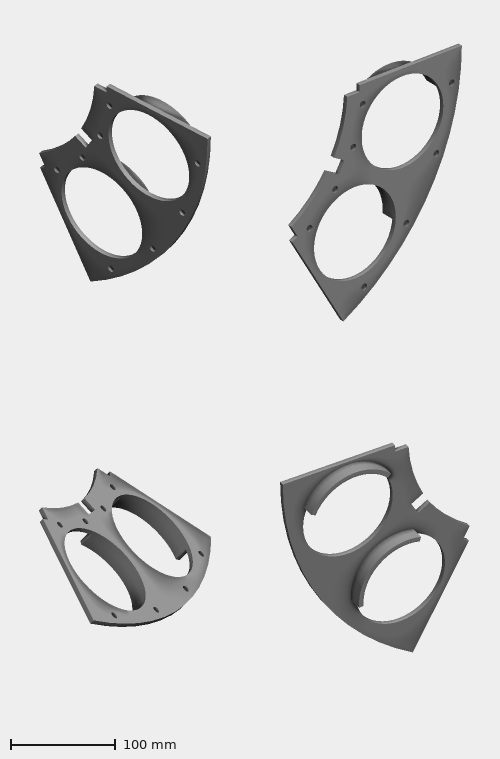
import cadquery as cq
import math

HEIGHT = 251.2
SECTOR_ANGLE = 60.0
OUTER_RADIUS = HEIGHT / math.sin(math.radians(SECTOR_ANGLE))
INNER_RADIUS = 150.0
PLATE_THICKNESS = 5.0

SLOT_WIDTH = 15.0
SLOT_END_RADIUS = 165.0
SLOT_ANGLES = (0, -SECTOR_ANGLE / 2, -SECTOR_ANGLE)

WINDOW_RADIUS = 50.0
WINDOW_PITCH_RADIUS = 225.0
WINDOW_ANGLES = (-SECTOR_ANGLE / 4, -3 * SECTOR_ANGLE / 4)
WALL_THICKNESS = 5.0
WALL_HEIGHT = 15.0
WALL_START = 40.0
WALL_END = 150.0

HOLE_DIAMETER = 7.0
HOLE_DEPTH = 3.0
HOLE_PITCH_RADII = (170.0, 280.0)
HOLE_ANGLES = [-SECTOR_ANGLE * (2 * i + 1) / 8 for i in range(4)]


def polar(radius, angle, center=(0, 0)):
    """Point in the XZ plane at a radius and an angle in degrees."""
    a = math.radians(angle)
    return (center[0] + radius * math.cos(a), center[1] + radius * math.sin(a))


def pie_slice(radius, start, end, y_front, depth, center=(0, 0)):
    """Circular sector reaching from y_front toward +Y."""
    return (
        cq.Workplane("XZ", origin=(0, y_front, 0))
        .moveTo(*center)
        .lineTo(*polar(radius, start, center))
        .threePointArc(polar(radius, (start + end) / 2, center), polar(radius, end, center))
        .close()
        .extrude(-depth)
    )


def rim_slot(angle):
    """Radial slot cutter, from the sector center out to the slot end."""
    return (
        cq.Workplane("XY")
        .box(SLOT_END_RADIUS, PLATE_THICKNESS, SLOT_WIDTH, centered=(False, False, True))
        .rotate((0, 0, 0), (0, 1, 0), -angle)
    )


def round_cutters(points, diameter, depth):
    """Round cutters sunk from the front face."""
    return cq.Workplane("XZ").pushPoints(points).circle(diameter / 2).extrude(-depth)


result = pie_slice(OUTER_RADIUS, -SECTOR_ANGLE, 0, 0, PLATE_THICKNESS)
result = result.cut(round_cutters([(0, 0)], 2 * INNER_RADIUS, PLATE_THICKNESS))

for slot_angle in SLOT_ANGLES:
    result = result.cut(rim_slot(slot_angle))

hole_points = [polar(radius, angle) for radius in HOLE_PITCH_RADII for angle in HOLE_ANGLES]
result = result.cut(round_cutters(hole_points, HOLE_DIAMETER, HOLE_DEPTH))

window_centers = [polar(WINDOW_PITCH_RADIUS, angle) for angle in WINDOW_ANGLES]
for window_angle, window_center in zip(WINDOW_ANGLES, window_centers):
    wall = pie_slice(
        WINDOW_RADIUS + WALL_THICKNESS,
        window_angle + WALL_START,
        window_angle + WALL_END,
        PLATE_THICKNESS,
        WALL_HEIGHT,
        window_center,
    )
    result = result.union(wall)

result = result.cut(round_cutters(window_centers, 2 * WINDOW_RADIUS, PLATE_THICKNESS + WALL_HEIGHT))